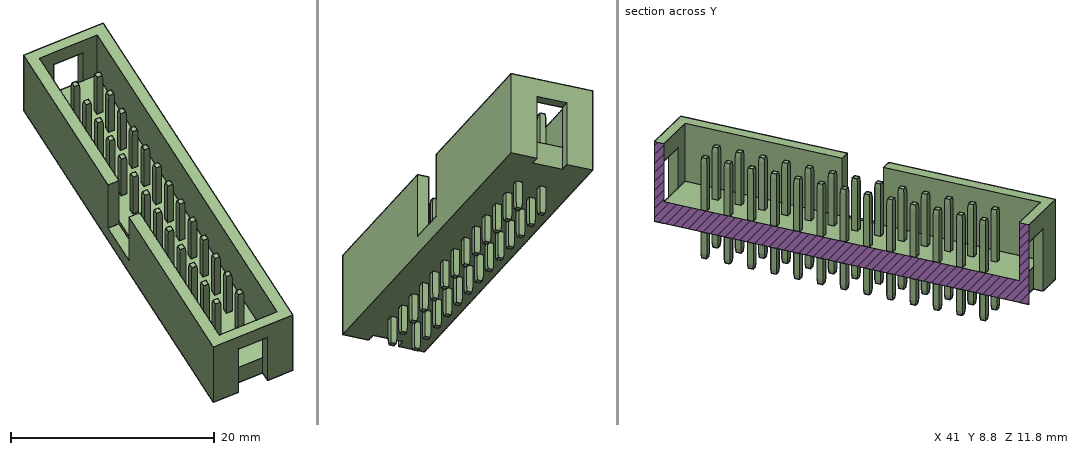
import cadquery as cq
import math


length = 40.95
width = 8.8
height = 8.9
cavity_length = 38.85
cavity_width = 6.4
end_wall = (length - cavity_length) / 2
side_wall = (width - cavity_width) / 2
floor_top = 2.45

notch_width = 4.5
notch_floor = 1.95

slot_width = 3.2
slot_height = 6.92

pins_per_row = 13
row_count = 2
pitch = 2.55
pin_size = 0.65
pin_shift_x = -0.15
pin_projection = 2.9
pin_bottom = -pin_projection
top_clearance = 0.65
pin_top = height - top_clearance
tip_height = 0.5
tip_inset = 0.06


def block(size_x, size_y, bottom, top):
    """Box centred on X and Y, spanning bottom to top in Z."""
    box = cq.Workplane("XY").box(size_x, size_y, top - bottom, centered=(True, True, False))
    return box.translate((0, 0, bottom))


def make_housing():
    """Open-topped box with a keying notch and a slot in each end wall."""
    housing = block(length, width, 0, height)
    cavity = block(cavity_length, cavity_width, floor_top, height)
    notch = block(notch_width, side_wall, notch_floor, height)
    notch = notch.translate((0, (side_wall - width) / 2, 0))
    housing = housing.cut(cavity).cut(notch)
    for side in (-1, 1):
        slot = block(end_wall, slot_width, 0, slot_height)
        housing = housing.cut(slot.translate((side * (length - end_wall) / 2, 0, 0)))
    return housing


def make_pin():
    """Square pin with a tapered tip at each end."""
    shank_bottom = pin_bottom + tip_height
    shank_top = pin_top - tip_height
    taper = math.degrees(math.atan2(tip_inset, tip_height))
    shank = block(pin_size, pin_size, shank_bottom, shank_top)
    pin = shank.faces(">Z").workplane().rect(pin_size, pin_size).extrude(tip_height, taper=taper)
    return pin.faces("<Z").workplane().rect(pin_size, pin_size).extrude(tip_height, taper=taper)


def add_pins(housing):
    """Join the pin grid to the housing floor."""
    pin = make_pin()
    for column in range(pins_per_row):
        x = pin_shift_x + (column - (pins_per_row - 1) / 2) * pitch
        for row in range(row_count):
            y = (row - (row_count - 1) / 2) * pitch
            housing = housing.union(pin.translate((x, y, 0)))
    return housing


result = add_pins(make_housing())